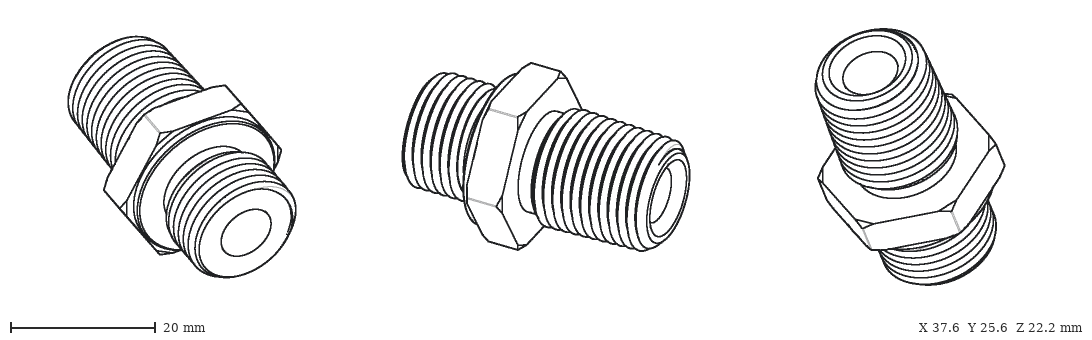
import cadquery as cq
import math


total_length = 37.6
taper_thread_end = 17.58
hex_start = 19.62
hex_length = 5.53
collar_length = 1.3
neck_length = 1.92
hex_end = hex_start + hex_length
collar_end = hex_end + collar_length
straight_thread_start = collar_end + neck_length

across_flats = 22.2
hex_corner_fillet = 0.2
corner_chamfer_radial = 0.85
corner_chamfer_axial = 0.5
collar_radius = 10.88
collar_chamfer = 0.25
body_radius = 7.25
neck_radius = 6.8

bore_radius = 3.95
mouth_radius = 5.5
mouth_half_angle = 45

flank_half_angle = 30
thread_depth = 1.13
ridge_embed = 0.05
crest_clearance = 0.2
runout_slope = 1.3
end_slope = 1.1

taper_slope = 1 / 32
taper_pitch = 1.4215
taper_crest_radius = 8.04
taper_crest_x = 1.86
taper_end_face_radius = 6.45

straight_pitch = 1.39
straight_crest_radius = 8.33
straight_crest_x = 29.48
straight_end_face_radius = 7.45


def revolve_profile(points):
    """Turn an (x, radius) outline about the X axis."""
    return cq.Workplane("XY").polyline(points).close().revolve(360, (0, 0, 0), (1, 0, 0))


def cone_frustum(x_start, x_end, radius_start, radius_end):
    return revolve_profile([(x_start, 0), (x_start, radius_start), (x_end, radius_end), (x_end, 0)])


def make_ridge(first_crest_x, turns, pitch, crest_radius, slope):
    """Right-hand ridge of triangular section whose first crest lies on the -Z side."""
    base_depth = thread_depth + ridge_embed
    base_radius = crest_radius - base_depth
    half_width = base_depth * math.tan(math.radians(flank_half_angle))
    height = turns * pitch
    if slope:
        cone_half_angle = math.degrees(math.atan(slope))
        helix = cq.Wire.makeHelix(pitch, height, crest_radius, angle=cone_half_angle)
    else:
        helix = cq.Wire.makeHelix(pitch, height, crest_radius)
    section = [
        (base_radius - slope * half_width, -half_width),
        (crest_radius, 0),
        (base_radius + slope * half_width, half_width),
    ]
    ridge = cq.Workplane("XZ").polyline(section).close().sweep(cq.Workplane(helix), isFrenet=True)
    return ridge.rotate((0, 0, 0), (0, 1, 0), 90).translate((first_crest_x, 0, 0))


def make_thread(x_start, x_end, crest_x, pitch, crest_radius_at, slope, envelope):
    """Threaded stretch: core plus ridge, trimmed to the envelope at both ends."""
    turns_before = math.ceil((crest_x - x_start) / pitch) + 1
    first_crest_x = crest_x - turns_before * pitch
    turns = math.ceil((x_end - first_crest_x) / pitch) + 1
    ridge = make_ridge(first_crest_x, turns, pitch, crest_radius_at(first_crest_x), slope)
    core_start = first_crest_x - pitch
    core_end = first_crest_x + (turns + 1) * pitch
    core = cone_frustum(
        core_start,
        core_end,
        crest_radius_at(core_start) - thread_depth,
        crest_radius_at(core_end) - thread_depth,
    )
    return core.intersect(envelope).union(ridge.intersect(envelope))


def taper_crest_at(x):
    return taper_crest_radius + taper_slope * x


def straight_crest_at(x):
    return straight_crest_radius


def make_taper_thread():
    clear_radius = taper_crest_at(total_length)
    end_rise = clear_radius - taper_end_face_radius
    runout_rise = clear_radius - body_radius
    envelope = revolve_profile([
        (0, 0),
        (0, taper_end_face_radius),
        (end_rise / end_slope, clear_radius),
        (taper_thread_end - runout_rise / runout_slope, clear_radius),
        (taper_thread_end, body_radius),
        (taper_thread_end, 0),
    ])
    return make_thread(
        0, taper_thread_end, taper_crest_x, taper_pitch, taper_crest_at, taper_slope, envelope
    )


def make_straight_thread():
    clear_radius = straight_crest_radius + crest_clearance
    runout_rise = clear_radius - neck_radius
    end_rise = clear_radius - straight_end_face_radius
    envelope = revolve_profile([
        (straight_thread_start, 0),
        (straight_thread_start, neck_radius),
        (straight_thread_start + runout_rise / runout_slope, clear_radius),
        (total_length - end_rise / end_slope, clear_radius),
        (total_length, straight_end_face_radius),
        (total_length, 0),
    ])
    return make_thread(
        straight_thread_start,
        total_length,
        straight_crest_x,
        straight_pitch,
        straight_crest_at,
        0,
        envelope,
    )


def make_hex():
    """Hexagon with flats facing +Z and -Z, rounded edges and flat chamfers on its corners."""
    corner_radius = across_flats / 2 / math.cos(math.pi / 6)
    tip_radius = corner_radius - hex_corner_fillet * (1 / math.cos(math.pi / 6) - 1)
    body = (
        cq.Workplane("YZ", origin=(hex_start, 0, 0))
        .polygon(6, 2 * corner_radius)
        .extrude(hex_length)
        .edges("|X")
        .fillet(hex_corner_fillet)
    )
    low = tip_radius - corner_chamfer_radial
    side = corner_chamfer_axial
    outline = [
        (hex_start, low),
        (hex_start + side, tip_radius),
        (hex_end - side, tip_radius),
        (hex_end, low),
    ]
    for index in range(6):
        for (x_face, y_face), (x_tip, y_tip) in (outline[:2], outline[:1:-1]):
            wedge = (
                cq.Workplane("XY")
                .polyline([(x_face, y_face), (x_tip, y_tip), (x_face, y_tip)])
                .close()
                .extrude(corner_radius / 2, both=True)
                .rotate((0, 0, 0), (1, 0, 0), 60 * index)
            )
            body = body.cut(wedge)
    return body


def make_round_stretches():
    """Plain body behind the tapered thread, collar beside the hexagon, and neck."""
    body = cone_frustum(taper_thread_end, hex_start, body_radius, body_radius)
    collar = revolve_profile([
        (hex_end, 0),
        (hex_end, collar_radius),
        (collar_end - collar_chamfer, collar_radius),
        (collar_end, collar_radius - collar_chamfer),
        (collar_end, 0),
    ])
    neck = cone_frustum(collar_end, straight_thread_start, neck_radius, neck_radius)
    return body, collar, neck


def make_bore():
    """Through bore with a conical mouth on the tapered end."""
    mouth_depth = (mouth_radius - bore_radius) / math.tan(math.radians(mouth_half_angle))
    return revolve_profile([
        (0, 0),
        (0, mouth_radius),
        (mouth_depth, bore_radius),
        (total_length, bore_radius),
        (total_length, 0),
    ])


result = make_hex()
for stretch in (*make_round_stretches(), make_taper_thread(), make_straight_thread()):
    result = result.union(stretch)
result = result.cut(make_bore())